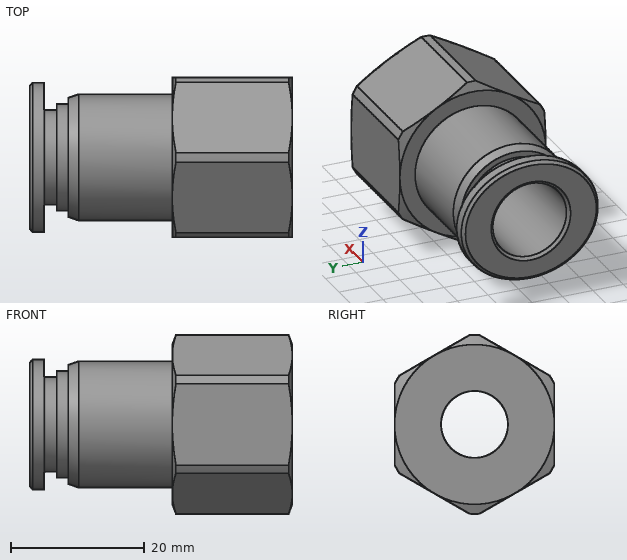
import cadquery as cq


total_length = 39.4
flange_end = 2.15
groove_end = 4.0
collar_end = 5.75
taper_end = 7.33
hex_start = 21.4

flange_width = 22.45
flange_height = 19.55
flange_chamfer = 0.47
groove_diameter = 14.25
groove_fillet = 0.1
collar_diameter = 16.08

taper_diameter = 17.9
body_diameter = 19.0

hex_across_flats = 24.0
hex_corner_diameter = 26.9
hex_bevel_length = 0.55

socket_diameter = 12.1
socket_depth = 19.7
socket_chamfer = 0.47
bore_diameter = 10.0


def revolve_about_x(outline):
    """Revolve a closed outline of (station, radius) points about the X axis."""
    return cq.Workplane("XY").polyline(outline).close().revolve(360, (0, 0, 0), (1, 0, 0))


def make_flange():
    """Oval flange with a chamfered front rim."""
    flange = cq.Workplane("YZ").ellipse(flange_width / 2, flange_height / 2).extrude(flange_end)
    return flange.faces("<X").chamfer(flange_chamfer)


def make_round_body():
    """Groove, collar and tapered cylinder between the flange and the hexagon."""
    groove_radius = groove_diameter / 2
    fillet_top = (flange_end, groove_radius + groove_fillet)
    fillet_foot = (flange_end + groove_fillet, groove_radius)
    return (
        cq.Workplane("XY")
        .moveTo(flange_end, 0)
        .lineTo(*fillet_top)
        .radiusArc(fillet_foot, -groove_fillet)
        .lineTo(groove_end, groove_radius)
        .lineTo(groove_end, collar_diameter / 2)
        .lineTo(collar_end, collar_diameter / 2)
        .lineTo(collar_end, taper_diameter / 2)
        .lineTo(taper_end, body_diameter / 2)
        .lineTo(hex_start, body_diameter / 2)
        .lineTo(hex_start, 0)
        .close()
        .revolve(360, (0, 0, 0), (1, 0, 0))
    )


def make_hexagon():
    """Hexagon with flats facing Y, its corners turned round and bevelled at both ends."""
    prism = (
        cq.Workplane("YZ", origin=(hex_start, 0, 0))
        .polygon(6, hex_across_flats, circumscribed=True)
        .extrude(total_length - hex_start)
    )
    turned_blank = revolve_about_x([
        (hex_start, 0),
        (hex_start, hex_across_flats / 2),
        (hex_start + hex_bevel_length, hex_corner_diameter / 2),
        (total_length - hex_bevel_length, hex_corner_diameter / 2),
        (total_length, hex_across_flats / 2),
        (total_length, 0),
    ])
    return prism.intersect(turned_blank)


def make_bore():
    """Stepped passage: chamfered tube socket, then a narrower bore through the far end."""
    return revolve_about_x([
        (0, 0),
        (0, socket_diameter / 2 + socket_chamfer),
        (socket_chamfer, socket_diameter / 2),
        (socket_depth, socket_diameter / 2),
        (socket_depth, bore_diameter / 2),
        (total_length, bore_diameter / 2),
        (total_length, 0),
    ])


result = make_flange().union(make_round_body()).union(make_hexagon()).cut(make_bore())